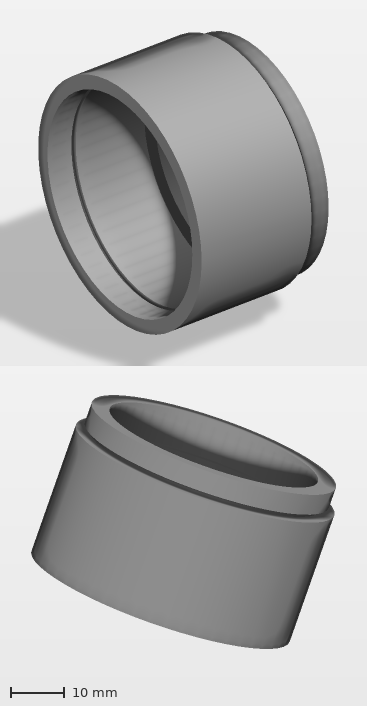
import cadquery as cq

body_diameter = 50.8
body_length = 25.4
neck_diameter = 45.3
neck_length = 1.0
flange_diameter = 48.0
flange_length = 4.0
bore_diameter = 45.0
bore_depth = 23.4
through_diameter = 41.0
mouth_groove_diameter = 47.0
shoulder_groove_diameter = 48.0
mouth_groove_start = 5.5
mouth_groove_width = 1.0
shoulder_groove_width = 1.0

neck_end = body_length + neck_length
total_length = neck_end + flange_length


def cylinder(diameter, start, length):
    """Solid cylinder along +Y beginning at Y = start."""
    return cq.Workplane("XZ", origin=(0, start, 0)).circle(diameter / 2).extrude(-length)


def outer_form():
    """Main body, reduced neck and end flange."""
    body = cylinder(body_diameter, 0, body_length)
    neck = cylinder(neck_diameter, body_length, neck_length)
    flange = cylinder(flange_diameter, neck_end, flange_length)
    return body.union(neck).union(flange)


def inner_form():
    """Through hole, wider bore from the mouth and the two ring grooves inside it."""
    through_hole = cylinder(through_diameter, 0, total_length)
    bore = cylinder(bore_diameter, 0, bore_depth)
    mouth_groove = cylinder(mouth_groove_diameter, mouth_groove_start, mouth_groove_width)
    shoulder_groove_start = bore_depth - shoulder_groove_width
    shoulder_groove = cylinder(shoulder_groove_diameter, shoulder_groove_start, shoulder_groove_width)
    return through_hole.union(bore).union(mouth_groove).union(shoulder_groove)


result = outer_form().cut(inner_form())